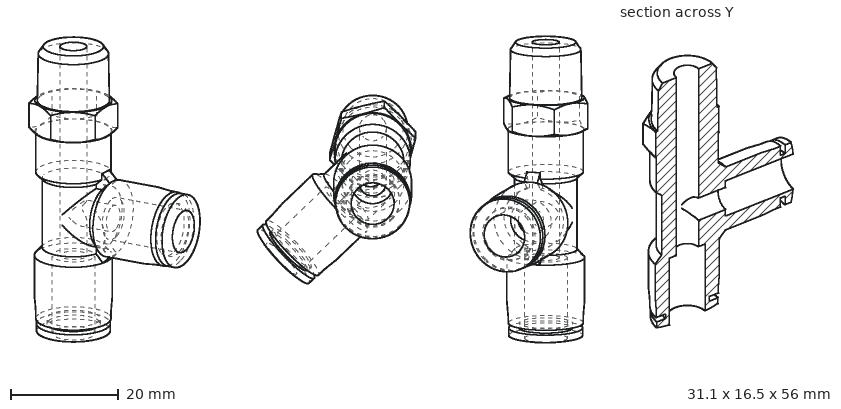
import cadquery as cq
import math

run_length = 56.0
branch_reach = 23.8
branch_height = 23.85

port_diameter = 14.5
ring_diameter = 14.0
collar_diameter = 13.8
collar_neck_diameter = 9.9
crown_height = 0.5
crown_mid_height = 0.15
collar_depth = 1.9
ring_start = 2.85
ring_end = 4.2
taper_end = 7.15
shoulder_start = 15.25
shoulder_end = 16.8

stem_diameter = 11.65
bore_diameter = 5.0
tube_diameter = 7.95

sleeve_diameter = 14.0
sleeve_cone_bottom = 30.35
sleeve_bottom = 31.5
hex_bottom = 39.55
hex_top = 45.5
hex_corner_diameter = 16.5
hex_flat_width = hex_corner_diameter * math.cos(math.pi / 6)
hex_chamfer_angle = 30.0
thread_base_diameter = 13.45
thread_end_diameter = 13.1
thread_tip_diameter = 11.2
thread_tip_height = 1.4

web_thickness = 2.6


def push_in_port(length):
    """Port with its outer face at z = 0 and its stem reaching up to z = length."""
    crown_mid_radius = (tube_diameter + collar_diameter) / 4
    profile = (
        cq.Workplane("XZ")
        .moveTo(0, 0)
        .lineTo(tube_diameter / 2, 0)
        .threePointArc((crown_mid_radius, crown_mid_height), (collar_diameter / 2, crown_height))
        .lineTo(collar_diameter / 2, collar_depth)
        .lineTo(collar_neck_diameter / 2, collar_depth)
        .lineTo(collar_neck_diameter / 2, ring_start)
        .lineTo(ring_diameter / 2, ring_start)
        .lineTo(ring_diameter / 2, ring_end)
        .lineTo(port_diameter / 2, taper_end)
        .lineTo(port_diameter / 2, shoulder_start)
        .lineTo(stem_diameter / 2, shoulder_end)
        .lineTo(stem_diameter / 2, length)
        .lineTo(0, length)
        .close()
    )
    return profile.revolve(360, (0, 0, 0), (0, 1, 0))


def port_bore(length):
    """Tube socket up to the port shoulder, continued by the flow bore."""
    socket = cq.Workplane("XY").circle(tube_diameter / 2).extrude(shoulder_start)
    flow = cq.Workplane("XY").circle(bore_diameter / 2).extrude(length)
    return socket.union(flow)


def as_branch(shape):
    """Turn an upright port so that its outer face looks along +X."""
    return shape.rotate((0, 0, 0), (0, 1, 0), -90).translate((branch_reach, 0, branch_height))


def sleeve_and_thread():
    thread_end = run_length - thread_tip_height
    profile = (
        cq.Workplane("XZ")
        .moveTo(0, sleeve_cone_bottom)
        .lineTo(stem_diameter / 2, sleeve_cone_bottom)
        .lineTo(sleeve_diameter / 2, sleeve_bottom)
        .lineTo(sleeve_diameter / 2, hex_top)
        .lineTo(thread_base_diameter / 2, hex_top)
        .lineTo(thread_end_diameter / 2, thread_end)
        .lineTo(thread_tip_diameter / 2, run_length)
        .lineTo(0, run_length)
        .close()
    )
    return profile.revolve(360, (0, 0, 0), (0, 1, 0))


def hexagon():
    """Hexagon with corners on the Y axis, its corners chamfered at both ends."""
    height = hex_top - hex_bottom
    prism = (
        cq.Workplane("XY", origin=(0, 0, hex_bottom))
        .polygon(6, hex_corner_diameter)
        .extrude(height)
        .rotate((0, 0, 0), (0, 0, 1), 30)
    )
    corner_width = (hex_corner_diameter - hex_flat_width) / 2
    corner_drop = corner_width * math.tan(math.radians(hex_chamfer_angle))
    envelope = (
        cq.Workplane("XZ")
        .moveTo(0, hex_bottom)
        .lineTo(hex_flat_width / 2, hex_bottom)
        .lineTo(hex_corner_diameter / 2, hex_bottom + corner_drop)
        .lineTo(hex_corner_diameter / 2, hex_top - corner_drop)
        .lineTo(hex_flat_width / 2, hex_top)
        .lineTo(0, hex_top)
        .close()
        .revolve(360, (0, 0, 0), (0, 1, 0))
    )
    return prism.intersect(envelope)


def corner_web():
    """Plate filling the two corners between run and branch, with 45 degree edges."""
    outer_x = branch_reach - shoulder_start
    half_height = port_diameter / 2
    return (
        cq.Workplane("XZ")
        .moveTo(0, branch_height - half_height)
        .lineTo(port_diameter / 2, branch_height - half_height - outer_x + port_diameter / 2)
        .lineTo(outer_x, branch_height - half_height)
        .lineTo(outer_x, branch_height + half_height)
        .lineTo(sleeve_diameter / 2, branch_height + half_height + outer_x - sleeve_diameter / 2)
        .lineTo(0, branch_height + half_height)
        .close()
        .extrude(web_thickness / 2, both=True)
    )


body = push_in_port(sleeve_cone_bottom)
body = body.union(as_branch(push_in_port(branch_reach)))
body = body.union(sleeve_and_thread()).union(hexagon()).union(corner_web())

result = body.cut(port_bore(run_length)).cut(as_branch(port_bore(branch_reach)))